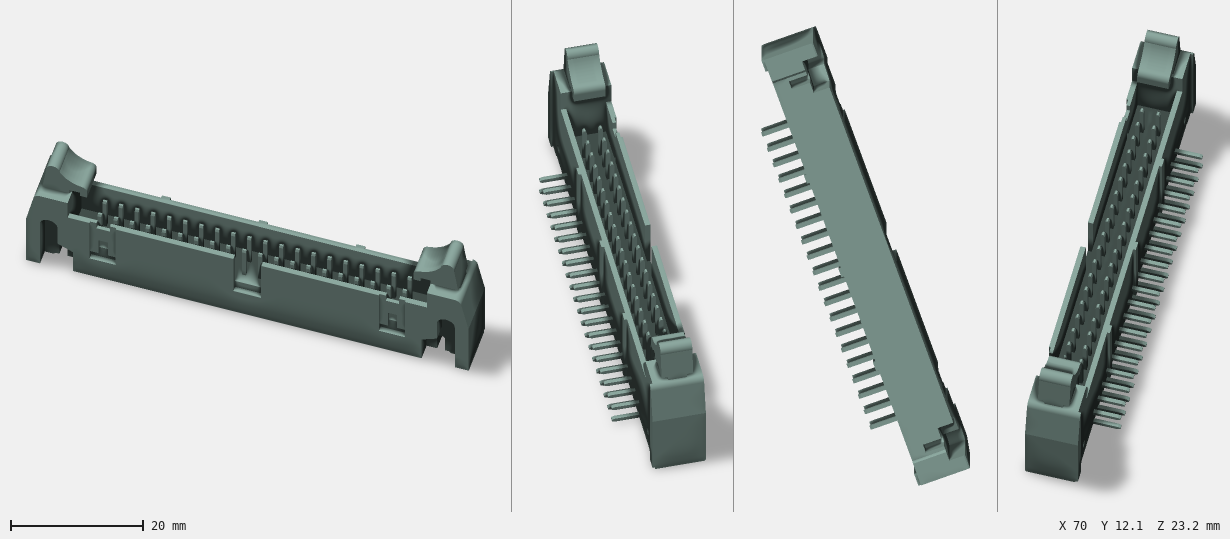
import cadquery as cq

LENGTH = 70.0
DEPTH = 12.1
HEIGHT = 23.2

BODY_DEPTH = 7.85
BODY_BOTTOM = 0.35
BODY_TOP = 13.4
WALL = 0.85
CAVITY_FLOOR = 6.85

HALF_LENGTH = LENGTH / 2
POST_INNER_X = HALF_LENGTH - 6.6
POST_TOP = 16.95
POST_SHOULDER_Z = 10.5
POST_TOP_OUTER_X = HALF_LENGTH - 1.3
POST_FILLET = 1.05
FOOT_LENGTH = 3.6
FOOT_CHAMFER = 0.2
FLANGE_INNER_X = HALF_LENGTH - 1.9
FLANGE_THICKNESS = 0.4

RECESS_DEPTH = 2.5
RECESS_OUTER_X = HALF_LENGTH - 2.2
RECESS_INNER_X = HALF_LENGTH - 5.0
RECESS_FOOT_X = HALF_LENGTH - 7.4
RECESS_TOP = 11.5
RECESS_RAMP_TOP = 6.2
RECESS_RAMP_BOTTOM = 5.05
PIVOT_X = HALF_LENGTH - 5.1
PIVOT_Z = 3.1
PIVOT_DIAMETER = 1.25

LATCH_WIDTH = 4.9
LEVER_WIDTH = 2.95
LATCH_BOTTOM = 17.5
LATCH_OUTER_X = HALF_LENGTH - 2.1
LATCH_HEEL_X = HALF_LENGTH - 6.45
LATCH_HOOK_X = HALF_LENGTH - 8.05
LATCH_NOSE_X = HALF_LENGTH - 9.2
LATCH_NOTCH_TOP = 18.3
LATCH_SHOULDER_X = HALF_LENGTH - 2.7
LATCH_SHOULDER_Z = 22.0
LATCH_CROWN = (HALF_LENGTH - 3.8, HEIGHT)
LATCH_CROWN_END = (HALF_LENGTH - 4.8, 22.2)
LATCH_THUMB_MIDDLE = (HALF_LENGTH - 6.45, 20.5)
LATCH_THUMB_END = (HALF_LENGTH - 8.3, 19.8)
LATCH_NOSE_MIDDLE = (HALF_LENGTH - 8.95, 19.45)
LATCH_NOSE_Z = 18.8
NECK_EMBED = 0.15

KEY_WIDTH = 4.4
KEY_BOTTOM = 5.4
CLIP_X = 22.9
CLIP_WIDTH = 4.1
CLIP_DEPTH = 0.3
CLIP_BOTTOM = 4.55
CLIP_STEP_Z = 6.0
CLIP_NOTCH_WIDTH = 2.1
CLIP_NOTCH_BOTTOM = 12.1
CLIP_WINDOW_WIDTH = 1.5
CLIP_WINDOW_TOP = 9.25

RIB_PITCH = 15.4
RIB_WIDTH = 1.4

PIN_COLUMNS = 20
PIN_ROW_LENGTH = 48.2
PIN_PITCH = PIN_ROW_LENGTH / (PIN_COLUMNS - 1)
PIN_SIZE = 0.6
PIN_TOP = 12.75
PIN_TIP_LENGTH = 0.4
PIN_TIP_INSET = 0.175
FRONT_TAIL_Z = 0.7


def box(x0, x1, y0, y1, z0, z1):
    """Axis-aligned block between two opposite corners."""
    return cq.Workplane("XY").box(x1 - x0, y1 - y0, z1 - z0, centered=False).translate((x0, y0, z0))


def centred_box(x, width, y0, y1, z0, z1):
    """Block centred on x."""
    return box(x - width / 2, x + width / 2, y0, y1, z0, z1)


def front_plane(y):
    """XZ workplane at depth y; negative extrusions run toward the rear."""
    return cq.Workplane("XZ", origin=(0, y, 0))


def both_ends(solid):
    """The +X end feature together with its mirror image."""
    return solid.union(solid.mirror("YZ"))


def make_body():
    """Shroud block hollowed by the pin cavity."""
    body = box(-POST_INNER_X, POST_INNER_X, 0, BODY_DEPTH, BODY_BOTTOM, BODY_TOP)
    cavity = box(-POST_INNER_X, POST_INNER_X, WALL, BODY_DEPTH - WALL, CAVITY_FLOOR, BODY_TOP)
    return body.cut(cavity)


def make_post():
    """End post with a sloped outer face, a foot and a thicker outer strip at the rear."""
    foot_x = HALF_LENGTH - FOOT_LENGTH
    post = (
        front_plane(0)
        .moveTo(HALF_LENGTH, 0)
        .lineTo(HALF_LENGTH, POST_SHOULDER_Z)
        .lineTo(POST_TOP_OUTER_X, POST_TOP)
        .lineTo(POST_INNER_X, POST_TOP)
        .lineTo(POST_INNER_X, BODY_BOTTOM)
        .lineTo(foot_x - BODY_BOTTOM, BODY_BOTTOM)
        .lineTo(foot_x, 0)
        .close()
        .extrude(-(BODY_DEPTH + FLANGE_THICKNESS))
    )
    post = post.cut(box(0, FLANGE_INNER_X, BODY_DEPTH, DEPTH, 0, HEIGHT))
    post = post.cut(box(0, HALF_LENGTH, BODY_DEPTH, DEPTH, 0, BODY_BOTTOM))
    top_corner = cq.selectors.NearestToPointSelector((POST_TOP_OUTER_X, BODY_DEPTH / 2, POST_TOP))
    post = post.edges(top_corner).fillet(POST_FILLET)
    front_foot = cq.selectors.NearestToPointSelector((HALF_LENGTH - FOOT_LENGTH / 2, 0, 0))
    return post.edges(front_foot).chamfer(FOOT_CHAMFER)


def make_pivot_recess():
    """Arched recess widening at its foot, with the lever slot and pivot hole behind it."""
    arch_radius = (RECESS_OUTER_X - RECESS_INNER_X) / 2
    spring_z = RECESS_TOP - arch_radius
    recess = (
        front_plane(0)
        .moveTo(RECESS_OUTER_X, 0)
        .lineTo(RECESS_OUTER_X, spring_z)
        .threePointArc((RECESS_OUTER_X - arch_radius, RECESS_TOP), (RECESS_INNER_X, spring_z))
        .lineTo(RECESS_INNER_X, RECESS_RAMP_TOP)
        .lineTo(RECESS_FOOT_X, RECESS_RAMP_BOTTOM)
        .lineTo(RECESS_FOOT_X, 0)
        .close()
        .extrude(-RECESS_DEPTH)
    )
    slot = centred_box(PIVOT_X, PIVOT_DIAMETER, 0, RECESS_DEPTH + LEVER_WIDTH, 0, PIVOT_Z)
    hole = front_plane(0).center(PIVOT_X, PIVOT_Z).circle(PIVOT_DIAMETER / 2).extrude(-BODY_DEPTH)
    return recess.union(slot).union(hole)


def make_latch():
    """Hooked latch head on a narrower neck that stands in the post."""
    head = (
        front_plane((BODY_DEPTH - LATCH_WIDTH) / 2)
        .moveTo(LATCH_OUTER_X, LATCH_BOTTOM)
        .lineTo(LATCH_SHOULDER_X, LATCH_SHOULDER_Z)
        .threePointArc(LATCH_CROWN, LATCH_CROWN_END)
        .threePointArc(LATCH_THUMB_MIDDLE, LATCH_THUMB_END)
        .threePointArc(LATCH_NOSE_MIDDLE, (LATCH_NOSE_X, LATCH_NOSE_Z))
        .lineTo(LATCH_NOSE_X, LATCH_BOTTOM)
        .lineTo(LATCH_HOOK_X, LATCH_BOTTOM)
        .lineTo(LATCH_HOOK_X, LATCH_NOTCH_TOP)
        .lineTo(LATCH_HEEL_X, LATCH_NOTCH_TOP)
        .lineTo(LATCH_HEEL_X, LATCH_BOTTOM)
        .close()
        .extrude(-LATCH_WIDTH)
    )
    neck_bottom = POST_TOP - NECK_EMBED
    outer_slope = (LATCH_OUTER_X - LATCH_SHOULDER_X) / (LATCH_SHOULDER_Z - LATCH_BOTTOM)
    neck = (
        front_plane((BODY_DEPTH - LEVER_WIDTH) / 2)
        .moveTo(LATCH_OUTER_X, LATCH_BOTTOM)
        .lineTo(LATCH_HEEL_X, LATCH_BOTTOM)
        .lineTo(LATCH_HEEL_X, neck_bottom)
        .lineTo(LATCH_OUTER_X + outer_slope * (LATCH_BOTTOM - neck_bottom), neck_bottom)
        .close()
        .extrude(-LEVER_WIDTH)
    )
    return head.union(neck)


def make_clip_recess():
    """Shallow recess with a top notch, a window and a full-depth step along its lower edge."""
    recess = centred_box(CLIP_X, CLIP_WIDTH, 0, CLIP_DEPTH, CLIP_BOTTOM, BODY_TOP)
    step = centred_box(CLIP_X, CLIP_WIDTH, 0, WALL, CLIP_BOTTOM, CLIP_STEP_Z)
    notch = centred_box(CLIP_X, CLIP_NOTCH_WIDTH, 0, WALL, CLIP_NOTCH_BOTTOM, BODY_TOP)
    window = centred_box(CLIP_X, CLIP_WINDOW_WIDTH, 0, WALL, CLIP_STEP_Z, CLIP_WINDOW_TOP)
    return recess.union(step).union(notch).union(window)


def make_pin_row(row_y, tail_z):
    """Row of L-shaped pins: vertical contacts and rear tails, both with wedge tips."""
    half = PIN_SIZE / 2
    tip_half = half - PIN_TIP_INSET
    contact_shoulder = PIN_TOP - PIN_TIP_LENGTH
    tail_shoulder = DEPTH - PIN_TIP_LENGTH
    outline = [
        (row_y - half, tail_z - half),
        (row_y - half, contact_shoulder),
        (row_y - tip_half, PIN_TOP),
        (row_y + tip_half, PIN_TOP),
        (row_y + half, contact_shoulder),
        (row_y + half, tail_z + half),
        (tail_shoulder, tail_z + half),
        (DEPTH, tail_z + tip_half),
        (DEPTH, tail_z - tip_half),
        (tail_shoulder, tail_z - half),
    ]
    pin = cq.Workplane("YZ", origin=(-half, 0, 0)).polyline(outline).close().extrude(PIN_SIZE).val()
    row = cq.Workplane("XY").rarray(PIN_PITCH, 0.7, PIN_COLUMNS, 1)
    return row.eachpoint(lambda location: pin.moved(location))


housing = make_body().union(both_ends(make_post()))
housing = housing.cut(both_ends(make_pivot_recess()))
housing = housing.cut(both_ends(make_clip_recess()))
housing = housing.cut(centred_box(0, KEY_WIDTH, 0, WALL, KEY_BOTTOM, BODY_TOP))
housing = housing.union(both_ends(make_latch()))

rib_back = BODY_DEPTH + FLANGE_THICKNESS
for rib_x in (-RIB_PITCH, 0, RIB_PITCH):
    housing = housing.union(centred_box(rib_x, RIB_WIDTH, BODY_DEPTH, rib_back, BODY_BOTTOM, BODY_TOP))

front_row_y = (BODY_DEPTH - PIN_PITCH) / 2
front_pins = make_pin_row(front_row_y, FRONT_TAIL_Z)
rear_pins = make_pin_row(front_row_y + PIN_PITCH, FRONT_TAIL_Z + PIN_PITCH)

result = housing.union(front_pins).union(rear_pins)